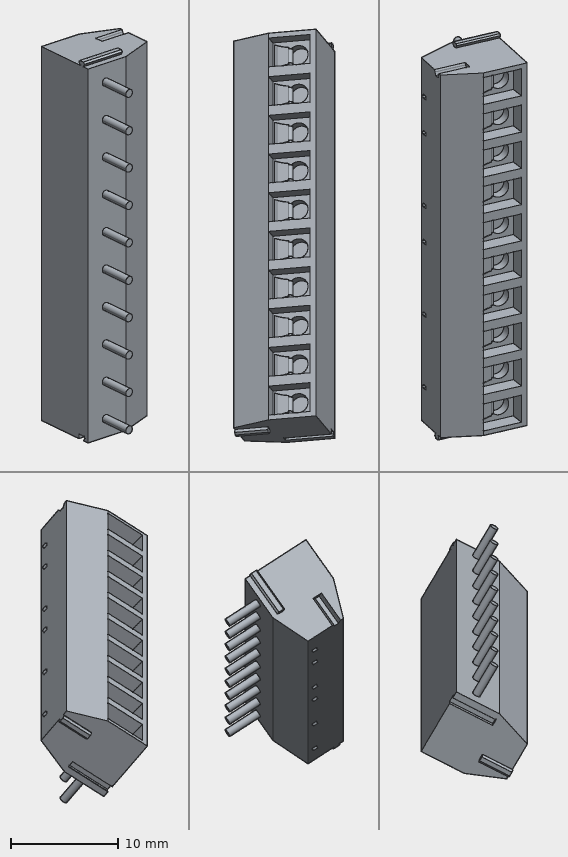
import cadquery as cq
import math

pole_count = 10
pitch = 3.81
body_width = 6.85
body_depth = 8.35
body_height = pole_count * pitch

shoulder_y = 4.6
back_left_x = 1.42
back_right_x = 5.42

pin_radius = 0.4
pin_length = 3.45
pin_y = 2.13

pocket_height = 2.84
pocket_depth = 1.5
pocket_front_y = 0.59
pocket_floor_front_y = 0.69
pocket_back_y = shoulder_y - 0.02
pocket_floor_back_y = pocket_back_y - 0.02

wire_radius = 0.95
wire_hole_depth = 1.0

leaf_rise = 0.12
leaf_bend = 0.36
leaf_flat_back_y = 4.15
leaf_flat_front_y = 3.03
leaf_root_half = 1.25
leaf_end_half = 0.82
leaf_side_sag = 0.06
leaf_nose_half = 0.69

back_key_length = 3.2
back_key_x = 2.21
back_rib_height = 0.52
back_rib_widest = 0.33
back_rib_neck_half = 0.3
back_rib_half = 0.42
back_rib_tip_half = 0.22
back_groove_half = 0.47
back_groove_mid_half = 0.36
back_groove_mid_depth = 0.2

front_rib_height = 0.48
front_rib_widest = 0.32
front_rib_left = 5.52
front_rib_right = 6.36
front_rib_neck_left = 5.7
front_rib_neck_right = 6.15
front_rib_top_left = 5.64
front_rib_top_right = 6.16
front_groove_depth = front_rib_height
front_groove_widest = 0.28
front_groove_mouth_right = 6.16
front_groove_floor_right = 6.24

ridge_joints = (1, 2, 4, 5, 7, 9)
ridge_length = 0.5
ridge_width = 0.36
ridge_height = 0.2
ridge_x = 4.7


def body():
    outline = [
        (0, 0),
        (body_width, 0),
        (body_width, shoulder_y),
        (back_right_x, body_depth),
        (back_left_x, body_depth),
        (0, shoulder_y),
    ]
    return cq.Workplane("XY").polyline(outline).close().extrude(body_height)


def along_y(profile, y_start, y_end):
    """Prism along Y whose (x, z) profile is constant from y_start to y_end."""
    plane = cq.Workplane("XZ", origin=(0, y_start, 0))
    return plane.polyline(profile).close().extrude(y_start - y_end)


def back_key(half_widths):
    """Key running in from the back; its section is symmetric, given as (half width, z) points."""
    right = [(back_key_x + half, z) for half, z in half_widths]
    left = [(back_key_x - half, z) for half, z in reversed(half_widths)]
    return along_y(right + left, body_depth - back_key_length, body_depth)


def back_rib():
    return back_key(
        [
            (back_rib_neck_half, 0),
            (back_rib_half, -back_rib_widest),
            (back_rib_tip_half, -back_rib_height),
        ]
    )


def back_groove():
    return back_key(
        [
            (back_groove_half, body_height),
            (back_groove_mid_half, body_height - back_groove_mid_depth),
            (back_rib_tip_half, body_height - back_rib_height),
        ]
    )


def front_rib():
    widest_z = body_height + front_rib_widest
    top_z = body_height + front_rib_height
    profile = [
        (front_rib_neck_left, body_height),
        (front_rib_left, widest_z),
        (front_rib_top_left, top_z),
        (front_rib_top_right, top_z),
        (front_rib_right, widest_z),
        (front_rib_neck_right, body_height),
    ]
    return along_y(profile, 0, shoulder_y)


def front_groove():
    profile = [
        (front_rib_left, 0),
        (front_rib_left, front_groove_depth),
        (front_groove_floor_right, front_groove_depth),
        (front_rib_right, front_groove_widest),
        (front_groove_mouth_right, 0),
    ]
    return along_y(profile, 0, shoulder_y)


def pocket(z):
    outline = [
        (0, pocket_front_y),
        (pocket_depth, pocket_floor_front_y),
        (pocket_depth, pocket_floor_back_y),
        (0, pocket_back_y),
    ]
    plane = cq.Workplane("XY", origin=(0, 0, z - pocket_height / 2))
    return plane.polyline(outline).close().extrude(pocket_height)


def wire_hole(z):
    plane = cq.Workplane("YZ", origin=(pocket_depth, pin_y, z))
    return plane.circle(wire_radius).extrude(wire_hole_depth)


def leaf_section(z, half_height):
    """Side section of the leaf: both ends are quarter bends, flat between them."""
    flat_x = pocket_depth - leaf_rise
    root_x = flat_x + leaf_bend
    bend_offset = leaf_bend * math.sqrt(0.5)
    plane = cq.Workplane("XY", origin=(0, 0, z - half_height))
    section = (
        plane.moveTo(root_x, leaf_flat_back_y + leaf_bend)
        .threePointArc(
            (root_x - bend_offset, leaf_flat_back_y + bend_offset),
            (flat_x, leaf_flat_back_y),
        )
        .lineTo(flat_x, leaf_flat_front_y)
        .threePointArc(
            (root_x - bend_offset, leaf_flat_front_y - bend_offset),
            (root_x, leaf_flat_front_y - leaf_bend),
        )
        .close()
    )
    return section.extrude(2 * half_height)


def leaf(z):
    root_y = leaf_flat_back_y + leaf_bend
    mid_y = (root_y + leaf_flat_front_y) / 2
    mid_half = (leaf_root_half + leaf_end_half) / 2 - leaf_side_sag
    horn = (
        cq.Workplane("YZ", origin=(0, 0, z))
        .moveTo(root_y, leaf_root_half)
        .threePointArc((mid_y, mid_half), (leaf_flat_front_y, leaf_end_half))
        .lineTo(leaf_flat_front_y, -leaf_end_half)
        .threePointArc((mid_y, -mid_half), (root_y, -leaf_root_half))
        .close()
        .extrude(body_width)
    )
    return leaf_section(z, leaf_root_half).intersect(horn).union(leaf_nose(z))


def leaf_nose(z):
    nose_y = leaf_flat_front_y - leaf_bend
    plane = cq.Workplane("XY", origin=(0, nose_y, z))
    nose_limit = plane.box(body_width, leaf_bend, pitch, centered=(False, False, True))
    return leaf_section(z, leaf_nose_half).intersect(nose_limit)


def pin(z):
    plane = cq.Workplane("YZ", origin=(body_width, pin_y, z))
    outline = (
        plane.moveTo(pin_radius, 0)
        .threePointArc((0, pin_radius), (-pin_radius, 0))
        .threePointArc((0, -pin_radius), (pin_radius, 0))
        .close()
    )
    return outline.extrude(pin_length, clean=False)


def ridge(z):
    plane = cq.Workplane("YZ", origin=(ridge_x - ridge_length / 2, body_depth, z))
    triangle = plane.polyline([(0, -ridge_width / 2), (ridge_height, 0), (0, ridge_width / 2)])
    return triangle.close().extrude(ridge_length)


end_ribs = back_rib().union(front_rib())
end_grooves = back_groove().union(front_groove())
result = body().union(end_ribs).cut(end_grooves)
for pole in range(pole_count):
    pole_z = (pole + 0.5) * pitch
    result = result.cut(pocket(pole_z), clean=False).cut(wire_hole(pole_z), clean=False)
    result = result.union(leaf(pole_z), clean=False).union(pin(pole_z), clean=False)
for joint in ridge_joints:
    result = result.union(ridge(body_height - joint * pitch), clean=False)